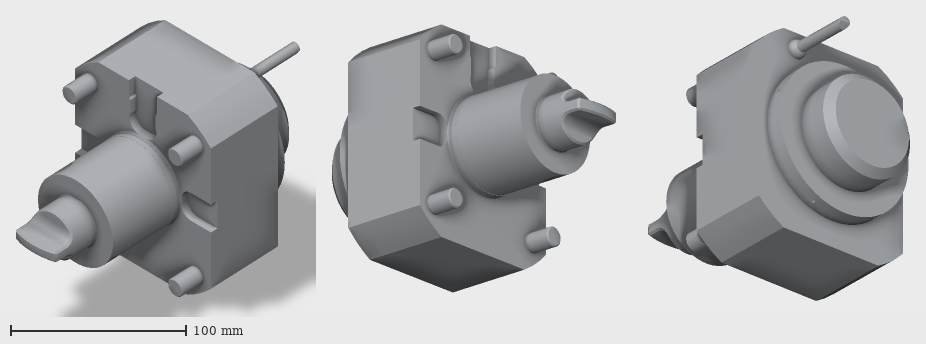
import cadquery as cq
import math


body_width = 108.0
body_height = 130.0
body_depth = 55.0
corner_radius = 74.0

flange_diameter = 96.0
flange_length = 12.0
cap_diameter = 65.0
cap_length = 24.7
cap_chamfer = 5.1
dimple_diameter = 2.0
dimple_depth = 1.9
dimple_count = 4
dimple_start_angle = -22.5

shank_diameter = 60.0
shank_length = 55.5
groove_diameter = 59.5
groove_start = 1.7
groove_width = 1.1
collar_length = 5.7
base_flare = 0.5

driver_diameter = 33.0
driver_tip = 91.0
tang_start = 73.8
tang_thickness = 7.5
tang_root_radius = 6.3
tang_crown = 2.8
tang_chamfer = 1.1

screw_diameter = 12.0
screw_length = 17.3
screw_chamfer = 0.8
screw_x = 42.0
screw_z = 47.0

pipe_diameter = 7.0
pipe_end = 98.6
pipe_bevel = 3.5
pipe_x = 26.0
pipe_z = 54.0
ball_diameter = 12.0

slot_depth = 5.3
slot_width = 20.1
slot_end = 30.4
slot_corner_radius = 8.0
side_slot_land = 4.2
top_slot_land = 5.5
top_slot_mouth_width = 22.4
top_slot_mouth_start = 52.5
top_slot_taper_start = 51.2


def rod(diameter, start, end, x=0, z=0):
    """Cylinder along Y from y = start to y = end."""
    low = min(start, end)
    plane = cq.Workplane("XZ", origin=(x, low, z))
    return plane.circle(diameter / 2).extrude(-abs(end - start))


def flared_stem(diameter, start, end):
    """Cylinder towards -Y with a small cone at its base."""
    radius = diameter / 2
    cone = cq.Solid.makeCone(
        radius + base_flare, radius, base_flare, cq.Vector(0, start, 0), cq.Vector(0, -1, 0)
    )
    return rod(diameter, start, end).union(cq.Workplane(cone))


def body_block():
    block = cq.Workplane("XY").box(body_width, body_depth, body_height)
    block = block.translate((0, body_depth / 2, 0))
    return block.intersect(rod(2 * corner_radius, 0, body_depth))


def slot_cutter(land, outer):
    """Rounded-end slot running up from the tool axis to z = outer."""
    corner_x = land / 2
    corner_z = slot_end + slot_corner_radius
    side = slot_width / 2
    side_z = corner_z + math.sqrt(slot_corner_radius**2 - (side - corner_x)**2)
    middle = slot_corner_radius * math.sqrt(0.5)
    return (
        cq.Workplane("XZ")
        .moveTo(-side, outer)
        .lineTo(-side, side_z)
        .threePointArc((-corner_x - middle, corner_z - middle), (-corner_x, slot_end))
        .lineTo(corner_x, slot_end)
        .threePointArc((corner_x + middle, corner_z - middle), (side, side_z))
        .lineTo(side, outer)
        .close()
        .extrude(-slot_depth)
    )


def top_slot():
    half_mouth = top_slot_mouth_width / 2
    half_slot = slot_width / 2
    top = body_height / 2
    mouth = (
        cq.Workplane("XZ")
        .polyline([
            (-half_slot, top_slot_taper_start),
            (half_slot, top_slot_taper_start),
            (half_mouth, top_slot_mouth_start),
            (half_mouth, top),
            (-half_mouth, top),
            (-half_mouth, top_slot_mouth_start),
        ])
        .close()
        .extrude(-slot_depth)
    )
    return slot_cutter(top_slot_land, top).union(mouth)


def side_slot(turn):
    slot = slot_cutter(side_slot_land, body_width / 2)
    return slot.rotate((0, 0, 0), (0, 1, 0), turn)


def rear_flange_and_cap():
    flange_end = body_depth + flange_length
    flange = rod(flange_diameter, body_depth, flange_end)
    cap = rod(cap_diameter, flange_end, flange_end + cap_length)
    cap = cap.faces(">Y").chamfer(cap_chamfer)
    dimple = (
        cq.Workplane("XY", origin=(0, body_depth + flange_length / 2, 0))
        .circle(dimple_diameter / 2)
        .extrude(dimple_depth)
        .translate((0, 0, flange_diameter / 2 - dimple_depth))
    )
    for i in range(dimple_count):
        angle = dimple_start_angle + i * 360 / dimple_count
        flange = flange.cut(dimple.rotate((0, 0, 0), (0, 1, 0), angle))
    return flange.union(cap)


def shank():
    """Shank turned about Y: base flare, ring groove, collar and plain end."""
    collar_radius = shank_diameter / 2
    inner_radius = groove_diameter / 2
    groove_end = groove_start + groove_width
    return (
        cq.Workplane("XY")
        .polyline([
            (0, 0),
            (collar_radius + base_flare, 0),
            (collar_radius, -base_flare),
            (collar_radius, -groove_start),
            (inner_radius, -groove_start),
            (inner_radius, -groove_end),
            (collar_radius, -groove_end),
            (collar_radius, -collar_length),
            (inner_radius, -collar_length),
            (inner_radius, -shank_length),
            (0, -shank_length),
        ])
        .close()
        .revolve(360, (0, 0, 0), (0, 1, 0))
    )


def driver():
    radius = driver_diameter / 2
    half_tang = tang_thickness / 2
    stem = flared_stem(driver_diameter, -shank_length, -driver_tip)

    crown_radius = (radius**2 + tang_crown**2) / (2 * tang_crown)
    crown = (
        cq.Workplane("XY", origin=(0, crown_radius - driver_tip, -radius))
        .circle(crown_radius)
        .extrude(2 * radius)
    )
    stem = stem.intersect(crown)

    root = tang_root_radius * (1 - math.sqrt(0.5))
    relief = (
        cq.Workplane("YZ", origin=(-driver_diameter, 0, 0))
        .moveTo(-tang_start, driver_diameter)
        .lineTo(-tang_start, half_tang + tang_root_radius)
        .threePointArc(
            (-tang_start - root, half_tang + root),
            (-tang_start - tang_root_radius, half_tang),
        )
        .lineTo(-2 * driver_tip, half_tang)
        .lineTo(-2 * driver_tip, driver_diameter)
        .close()
        .extrude(2 * driver_diameter)
    )
    stem = stem.cut(relief).cut(relief.mirror("XY"))

    edge_zone = cq.selectors.BoxSelector(
        (-driver_diameter, -2 * driver_tip, -driver_diameter),
        (driver_diameter, tang_chamfer - tang_start, driver_diameter),
    )
    return stem.edges(edge_zone).edges("not |X").chamfer(tang_chamfer)


def screws():
    screw = rod(screw_diameter, 0, -screw_length).faces("<Y").chamfer(screw_chamfer)
    places = [(x, 0, z) for x in (-screw_x, screw_x) for z in (-screw_z, screw_z)]
    return [screw.translate(place) for place in places]


def coolant_pipe():
    """Bevelled pipe standing on a ball seat behind the body."""
    pipe = rod(pipe_diameter, body_depth, pipe_end, pipe_x, pipe_z)
    bottom = pipe_z - pipe_diameter / 2
    bevel = (
        cq.Workplane("YZ", origin=(pipe_x - pipe_diameter, 0, 0))
        .polyline([
            (pipe_end - pipe_bevel, bottom),
            (pipe_end, bottom + pipe_bevel),
            (pipe_end, bottom),
        ])
        .close()
        .extrude(2 * pipe_diameter)
    )
    ball_radius = ball_diameter / 2
    middle = ball_radius * math.sqrt(0.5)
    seat = (
        cq.Workplane("XY", origin=(pipe_x, body_depth, pipe_z))
        .lineTo(ball_radius, 0)
        .threePointArc((middle, middle), (0, ball_radius))
        .close()
        .revolve(360, (0, 0, 0), (0, 1, 0))
    )
    return pipe.cut(bevel).union(seat)


body = body_block()
body = body.cut(top_slot())
for turn in (-90, 90):
    body = body.cut(side_slot(turn))

result = body.union(rear_flange_and_cap()).union(shank()).union(driver()).union(coolant_pipe())
for screw in screws():
    result = result.union(screw)